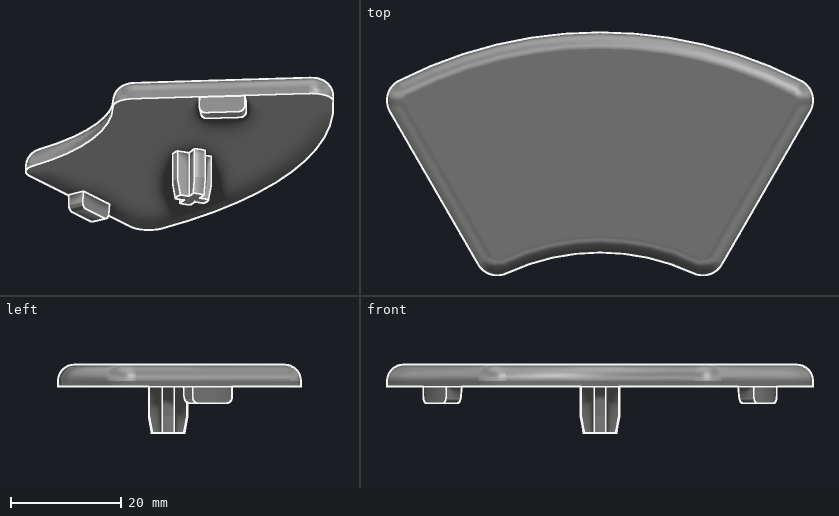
import cadquery as cq
import math

outer_radius = 80.0
inner_radius = outer_radius / 2
middle_radius = (outer_radius + inner_radius) / 2
half_angle = 30
side_offset = 0.2
corner_radius = 4.0
plate_thickness = 4.0
top_fillet = 3.0

post_length = 8.4
post_diameter = 7.1
post_tip_diameter = 6.0
post_taper_length = 3.0
arm_width = 2.2

foot_length = 8.3
foot_height = 3.0
foot_width = 3.3
foot_draft = 0.3
foot_fillet = 1.15


def polar(radius, angle_from_y):
    """Point at a radius from the apex, at an angle measured from +Y toward +X."""
    angle = math.radians(angle_from_y)
    return radius * math.sin(angle), radius * math.cos(angle)


def make_plate():
    outer_angle = half_angle + math.degrees(math.asin(side_offset / outer_radius))
    inner_angle = half_angle + math.degrees(math.asin(side_offset / inner_radius))
    outline = (
        cq.Workplane("XY")
        .moveTo(*polar(inner_radius, -inner_angle))
        .lineTo(*polar(outer_radius, -outer_angle))
        .threePointArc(polar(outer_radius, 0), polar(outer_radius, outer_angle))
        .lineTo(*polar(inner_radius, inner_angle))
        .threePointArc(polar(inner_radius, 0), polar(inner_radius, -inner_angle))
        .close()
    )
    plate = outline.extrude(plate_thickness)
    return plate.edges("|Z").fillet(corner_radius).faces(">Z").edges().fillet(top_fillet)


def make_post():
    pin = (
        cq.Workplane("XZ")
        .polyline([
            (0, 0),
            (post_diameter / 2, 0),
            (post_diameter / 2, post_taper_length - post_length),
            (post_tip_diameter / 2, -post_length),
            (0, -post_length),
        ])
        .close()
        .revolve(360, (0, 0, 0), (0, 1, 0))
    )
    below = (True, True, False)
    arm_x = cq.Workplane("XY").box(post_diameter, arm_width, post_length, centered=below)
    arm_y = cq.Workplane("XY").box(arm_width, post_diameter, post_length, centered=below)
    cross = arm_x.union(arm_y).translate((0, 0, -post_length))
    return pin.intersect(cross).translate((0, middle_radius, 0))


def make_foot(side):
    """Foot along the +X (side = 1) or -X (side = -1) straight side of the plate."""
    section = (
        cq.Workplane("XZ")
        .polyline([
            (0, 0),
            (-side * foot_width, 0),
            (-side * (foot_width - foot_draft), -foot_height),
            (0, -foot_height),
        ])
        .close()
    )
    foot = section.extrude(foot_length / 2, both=True)
    foot = foot.faces("<Z").edges("<Y or >Y").fillet(foot_fillet)
    return foot.translate((0, middle_radius, 0)).rotate((0, 0, 0), (0, 0, 1), -side * half_angle)


result = make_plate().union(make_post())
for side in (-1, 1):
    result = result.union(make_foot(side))